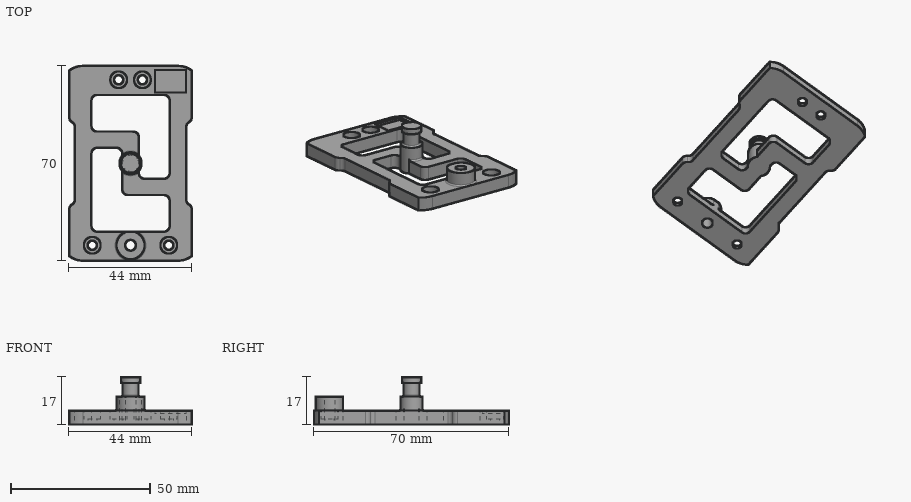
import cadquery as cq
import math

length = 70.0
width = 44.0
plate_thickness = 5.0
corner_radius = 8.0
corner_run = 5.0
waist_width = 40.05
waist_half_length = 13.0
waist_blend_radius = 2.0

window_width = 28.0
window_length = 49.0
arm_width = 6.0
arm_inner_y = 5.5
arm_outer_y = 11.4
window_fillet = 2.0

post_diameter = 8.0
neck_diameter = 5.8
head_diameter = 7.0
post_top = 10.0
head_bottom = 15.0
total_height = 17.0
root_fillet = 0.5

boss_diameter = 10.1
boss_bore = 3.8
boss_y = -29.4
boss_top = post_top

screw_diameter = 3.2
counterbore_diameter = 6.0
counterbore_depth = 3.0
screw_points = [(-4.3, 29.95), (4.3, 29.95), (-13.7, boss_y), (13.7, boss_y)]

pocket_width = 11.1
pocket_length = 8.0
pocket_center = (14.35, 29.4)
pocket_depth = 1.0


def outline_quarter():
    """Upper right quarter of the plate outline, from the top edge to the waist."""
    half_width = width / 2
    half_length = length / 2
    arc_x = half_width - corner_run
    arc_center_y = half_length - corner_radius
    arc_angle = math.asin(corner_run / corner_radius)
    corner_end_y = arc_center_y + corner_radius * math.cos(arc_angle)
    corner_mid = (
        arc_x + corner_radius * math.sin(arc_angle / 2),
        arc_center_y + corner_radius * math.cos(arc_angle / 2),
    )

    half_step = (width - waist_width) / 4
    blend_angle = math.acos(1 - half_step / waist_blend_radius)
    blend_run = waist_blend_radius * math.sin(blend_angle)
    mid_rise = waist_blend_radius * (1 - math.cos(blend_angle / 2))
    mid_run = waist_blend_radius * math.sin(blend_angle / 2)
    waist_x = waist_width / 2
    shoulder_y = waist_half_length + 2 * blend_run

    return (
        cq.Workplane("XY")
        .moveTo(0, half_length)
        .lineTo(arc_x, half_length)
        .threePointArc(corner_mid, (half_width, corner_end_y))
        .lineTo(half_width, shoulder_y)
        .threePointArc(
            (half_width - mid_rise, shoulder_y - mid_run),
            (half_width - half_step, shoulder_y - blend_run),
        )
        .threePointArc(
            (waist_x + mid_rise, waist_half_length + mid_run),
            (waist_x, waist_half_length),
        )
        .lineTo(waist_x, 0)
        .lineTo(0, 0)
        .close()
    )


def solid_plate(height):
    """Plate outline without its openings, mirrored from one quarter."""
    quarter = outline_quarter().extrude(height)
    half = quarter.union(quarter.mirror("YZ"))
    return half.union(half.mirror("XZ")).clean()


def window_opening(height):
    """L-shaped opening on the upper right of the arm."""
    x = window_width / 2
    y = window_length / 2
    arm_x = arm_width / 2
    return (
        cq.Workplane("XY")
        .polyline([
            (-x, y), (x, y), (x, -arm_inner_y),
            (arm_x, -arm_inner_y), (arm_x, arm_outer_y), (-x, arm_outer_y),
        ])
        .close()
        .extrude(height)
        .edges("|Z")
        .fillet(window_fillet)
    )


def frame(height):
    """Plate outline with both openings; the second is the first turned half round."""
    opening = window_opening(height)
    turned = opening.rotate((0, 0, 0), (0, 0, 1), 180)
    return solid_plate(height).cut(opening).cut(turned)


def cylinder(diameter, bottom, top):
    return cq.Workplane("XY").workplane(offset=bottom).circle(diameter / 2).extrude(top - bottom)


def root_flare(diameter, base):
    """Concave fillet ring where a cylinder stands on a flat face at height base."""
    r = diameter / 2
    sag = root_fillet * (1 - math.sqrt(0.5))
    return (
        cq.Workplane("XZ")
        .moveTo(0, base)
        .lineTo(r + root_fillet, base)
        .threePointArc((r + sag, base + sag), (r, base + root_fillet))
        .lineTo(0, base + root_fillet)
        .close()
        .revolve(360, (0, 0, 0), (0, 1, 0))
    )


def pin():
    """Stepped pin: post through the plate, thinner neck, wider head."""
    return (
        cylinder(post_diameter, 0, post_top)
        .union(cylinder(neck_diameter, post_top, head_bottom))
        .union(root_flare(neck_diameter, post_top))
        .union(cylinder(head_diameter, head_bottom, total_height))
    )


def boss():
    body = cylinder(boss_diameter, 0, boss_top).union(root_flare(boss_diameter, plate_thickness))
    return body.translate((0, boss_y, 0))


def screw_hole():
    """Through hole with a counterbore in the top face."""
    counterbore_floor = plate_thickness - counterbore_depth
    hole = cylinder(screw_diameter, 0, plate_thickness)
    return hole.union(cylinder(counterbore_diameter, counterbore_floor, plate_thickness))


def label_pocket():
    return (
        cq.Workplane("XY")
        .workplane(offset=plate_thickness - pocket_depth)
        .center(*pocket_center)
        .rect(pocket_width, pocket_length)
        .extrude(pocket_depth)
    )


footprint = frame(total_height)
result = (
    frame(plate_thickness)
    .union(boss().intersect(footprint))
    .union(root_flare(post_diameter, plate_thickness).intersect(footprint))
    .union(pin())
)

result = result.cut(cylinder(boss_bore, 0, boss_top).translate((0, boss_y, 0)))
for x, y in screw_points:
    result = result.cut(screw_hole().translate((x, y, 0)))
result = result.cut(label_pocket())